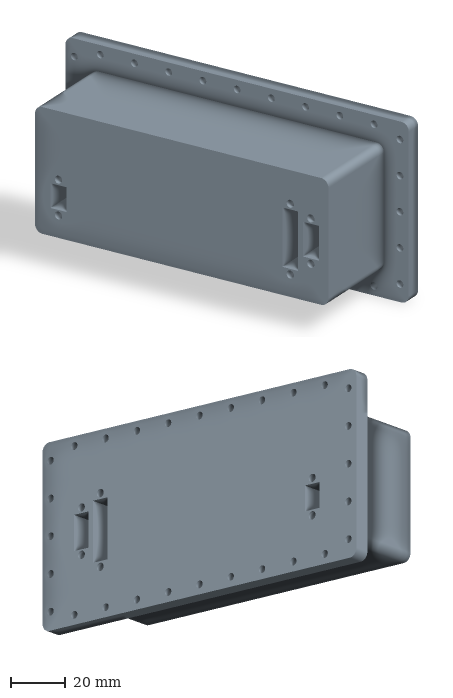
import cadquery as cq

flange_length = 148.59
flange_height = 72.39
flange_thickness = 6.35
total_depth = 44.45

block_length = 127.0
block_height = 50.8
corner_radius = 3.175

screw_diameter = 2.95
screw_edge_inset = 3.81
screws_per_long_side = 9
screws_per_short_side = 5
long_side_pitch = 14.82
short_side_pitch = flange_height / screws_per_short_side

connector_window_width = 6.9
connector_screw_diameter = 3.2
connectors = [
    (-53.34, -9.25, 9.9, 14.35),
    (46.99, -2.25, 23.8, 28.32),
    (55.88, -0.95, 13.9, 18.16),
]


def rounded_slab(length, height, back_y, depth):
    """Slab reaching from back_y toward -Y, with rounded corners along Y."""
    slab = cq.Workplane("XZ", origin=(0, back_y, 0)).rect(length, height).extrude(depth)
    return slab.edges("|Y").fillet(corner_radius)


def front_plane():
    """Plane on the front face of the block (Y = 0), drawn in X and Z; extruding goes toward -Y."""
    return cq.Workplane("XZ")


def evenly_spaced(count, pitch):
    """Positions spaced by pitch and centered on zero."""
    return [(index - (count - 1) / 2) * pitch for index in range(count)]


def flange_screw_points():
    """Screw positions: a row along each long side and a column along each short side."""
    row_z = flange_height / 2 - screw_edge_inset
    column_x = flange_length / 2 - screw_edge_inset
    points = []
    for side in (-1, 1):
        for x in evenly_spaced(screws_per_long_side, long_side_pitch):
            points.append((x, side * row_z))
        for z in evenly_spaced(screws_per_short_side, short_side_pitch):
            points.append((side * column_x, z))
    return points


def connector_cutter(center_x, center_z, window_height, screw_spacing):
    """Rectangular window with a screw hole above and below, through the full depth."""
    window = (
        front_plane()
        .center(center_x, center_z)
        .rect(connector_window_width, window_height)
        .extrude(-total_depth)
    )
    screw_offset = screw_spacing / 2
    screws = (
        front_plane()
        .center(center_x, center_z)
        .pushPoints([(0, -screw_offset), (0, screw_offset)])
        .circle(connector_screw_diameter / 2)
        .extrude(-total_depth)
    )
    return window.union(screws)


flange = rounded_slab(flange_length, flange_height, total_depth, flange_thickness)
block = rounded_slab(block_length, block_height, total_depth, total_depth)
result = flange.union(block)

flange_screws = (
    front_plane()
    .pushPoints(flange_screw_points())
    .circle(screw_diameter / 2)
    .extrude(-total_depth)
)
result = result.cut(flange_screws)

for connector in connectors:
    result = result.cut(connector_cutter(*connector))